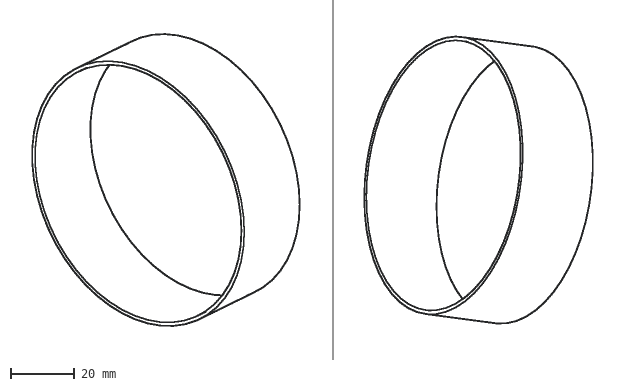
import cadquery as cq

outer_diameter = 88.4
wall_thickness = 1.2
ring_width = 27.0

outer_radius = outer_diameter / 2
inner_radius = outer_radius - wall_thickness

result = (
    cq.Workplane("XZ", origin=(0, ring_width / 2, 0))
    .circle(outer_radius)
    .circle(inner_radius)
    .extrude(ring_width)
)